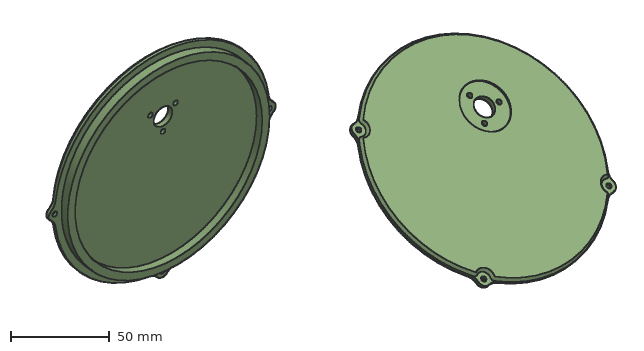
import cadquery as cq
import math

total_depth = 9.0
rim_chamfer_depth = 1.8
flange_back = 3.8
plate_back = 4.5

plate_radius = 70.0
rim_chamfer_width = 1.5
ring_outer_diameter = 131.5
ring_inner_diameter = 122.0

tab_angles = (0, 180, 270)
tab_reach = 74.0
tab_radius = tab_reach - plate_radius
tab_blend_radius = 8.0
tab_hole_diameter = 3.0
notch_corner_radius = 2.0

shaft_height = 29.0
recess_diameter = 29.0
recess_depth = 1.0
shaft_diameter = 12.0
shaft_screw_diameter = 3.0
shaft_screw_circle_radius = 9.5
shaft_screw_angles = (30, 150, 270)


def plane_at(x):
    """Sketch plane at depth x: local x is +Y, local y is +Z, extruding toward +X."""
    return cq.Workplane("YZ", origin=(x, 0, 0))


def polar(radius, angle, center=(0, 0)):
    """Point at a radius and an angle in radians about a centre."""
    return center[0] + radius * math.cos(angle), center[1] + radius * math.sin(angle)


def mirrored(point):
    """Same point on the other side of the tab's centre line."""
    return point[0], -point[1]


def place_at_tabs(shape):
    """Copies of a shape drawn at the +Y tab, turned to every tab position."""
    return [shape.rotate((0, 0, 0), (1, 0, 0), angle) for angle in tab_angles]


def make_tab():
    """Round tab joined to the rim by concave arcs tangent to both circles."""
    to_blend = plate_radius + tab_blend_radius
    tab_to_blend = tab_radius + tab_blend_radius
    blend_cosine = (plate_radius**2 + to_blend**2 - tab_to_blend**2) / (2 * plate_radius * to_blend)
    rim_angle = math.acos(blend_cosine)
    blend_center = polar(to_blend, rim_angle)
    tip_angle = math.atan2(blend_center[1], blend_center[0] - plate_radius)

    rim_end = polar(plate_radius, rim_angle)
    tip_end = polar(tab_radius, tip_angle, center=(plate_radius, 0))
    blend_middle = polar(tab_blend_radius, math.pi + (rim_angle + tip_angle) / 2, center=blend_center)
    return (
        plane_at(rim_chamfer_depth)
        .moveTo(ring_outer_diameter / 2, 0)
        .lineTo(*rim_end)
        .threePointArc(blend_middle, tip_end)
        .threePointArc((tab_reach, 0), mirrored(tip_end))
        .threePointArc(mirrored(blend_middle), mirrored(rim_end))
        .close()
        .extrude(flange_back - rim_chamfer_depth)
    )


def make_chamfered_disc():
    """Disc with a round notch at each tab and a chamfer that follows rim and notches."""
    disc = plane_at(0).circle(plate_radius).extrude(flange_back)
    notch = plane_at(0).center(plate_radius, 0).circle(tab_radius).extrude(flange_back)
    for placed_notch in place_at_tabs(notch):
        disc = disc.cut(placed_notch)
    disc = disc.edges("|X").fillet(notch_corner_radius)
    return disc.faces("<X").edges().chamfer(rim_chamfer_width, rim_chamfer_depth)


def make_flange_and_ring():
    """Flange with its tabs, plate back and locating ring, all behind the rim chamfer."""
    flange = plane_at(rim_chamfer_depth).circle(plate_radius).extrude(flange_back - rim_chamfer_depth)
    for tab in place_at_tabs(make_tab()):
        flange = flange.union(tab)
    ring = plane_at(flange_back).circle(ring_outer_diameter / 2).extrude(total_depth - flange_back)
    bore = plane_at(plate_back).circle(ring_inner_diameter / 2).extrude(total_depth - plate_back)
    return flange.union(ring).cut(bore)


def make_shaft_cutter():
    """Recess, shaft hole and screw holes around the shaft axis."""
    screw_points = [polar(shaft_screw_circle_radius, math.radians(angle)) for angle in shaft_screw_angles]
    seat = plane_at(0).center(0, shaft_height)
    recess = seat.circle(recess_diameter / 2).extrude(recess_depth)
    shaft_hole = seat.circle(shaft_diameter / 2).extrude(plate_back)
    screw_holes = seat.pushPoints(screw_points).circle(shaft_screw_diameter / 2).extrude(plate_back)
    return recess.union(shaft_hole).union(screw_holes)


cover = make_flange_and_ring().union(make_chamfered_disc()).cut(make_shaft_cutter())
tab_hole = plane_at(0).center(plate_radius, 0).circle(tab_hole_diameter / 2).extrude(flange_back)
for placed_hole in place_at_tabs(tab_hole):
    cover = cover.cut(placed_hole)
result = cover